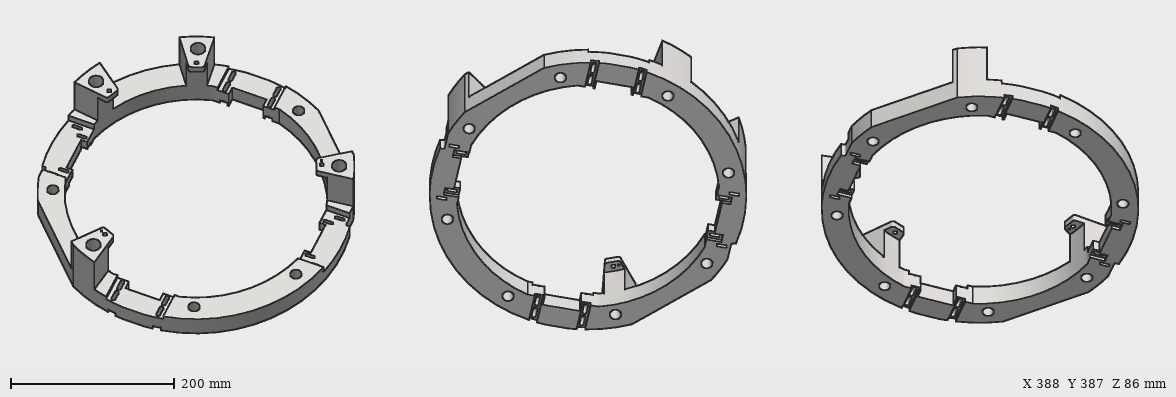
import cadquery as cq
import math

outer_radius = 194.0
inner_radius = 161.0
total_height = 86.0
ring_height = 30.0

end_flat_width = 28.0
diagonal_angle = 45
diagonal_flat_dist = 185.0

bore_flat_dist = 155.0

y_pad_half_width = 38.0
y_pad_drop = 5.0
y_pocket_half_width = 23.0
y_pocket_reach = 165.5

x_pad_half_width = 44.0
x_pad_drop = 10.0
x_pocket_half_width = 23.0
x_pocket_reach = 163.0

groove_width = 10.0
groove_depth = 5.0
y_slot_offset = 30.0
y_slot_length = 15.5
y_slot_width = 5.0
y_slot_reaches = (163.7, 181.0)
x_slot_length = 12.8
x_slot_width = 4.0
x_slot_inner = (164.0, 28.0)
x_slot_outer = (175.0, 38.5)

side_step_dist = 186.0
side_step_start = 32.2
side_step_end = 58.2
side_step_fillet = 2.5

bolt_circle_radius = 175.5
bolt_diameter = 14.0
bolt_count = 8
counterbore_diameter = 18.0

post_offset = 1.5
post_half_angle = 15.0
tip_radius = 147.5
tip_half_width = 9.5
tip_fillet = 3.5
lip_thickness = 9.7
lip_hole_radius = 154.0
lip_hole_diameter = 5.0
pin_hole_radius = 153.5
pin_hole_offset = 8.0
pin_hole_diameter = 2.2

clear = 4.0
half_pitch = 360 / bolt_count / 2

posts = (
    (half_pitch, False, True),
    (90 + half_pitch, False, False),
    (180 - half_pitch, True, False),
    (270 - half_pitch, True, True),
)


def block(x_range, y_range, z_range):
    """Box spanning the given ranges along X, Y and Z."""
    (x0, x1), (y0, y1), (z0, z1) = x_range, y_range, z_range
    return cq.Workplane("XY").box(x1 - x0, y1 - y0, z1 - z0, centered=False).translate((x0, y0, z0))


def turned(shape, angle):
    """Shape rotated about the ring axis."""
    return shape.rotate((0, 0, 0), (0, 0, 1), angle)


def outer_envelope():
    """Full-height body inside the outer wall of the ring and the posts."""
    end_flat_dist = math.sqrt(outer_radius**2 - (end_flat_width / 2) ** 2)
    body = cq.Workplane("XY").circle(outer_radius).extrude(total_height)
    body = body.intersect(
        cq.Workplane("XY").rect(2 * outer_radius, 2 * end_flat_dist).extrude(total_height)
    )
    diagonal = cq.Workplane("XY").rect(2 * diagonal_flat_dist, 2 * outer_radius).extrude(total_height)
    body = body.intersect(turned(diagonal, diagonal_angle))
    step = block(
        (side_step_dist, outer_radius + clear),
        (side_step_start, side_step_end),
        (-clear, total_height + clear),
    )
    step = step.edges("|Z and <X and <Y").fillet(side_step_fillet)
    return body.cut(step).cut(turned(step, 180))


def bore():
    """Round bore up to the lips, flattened at the pads."""
    height = total_height - lip_thickness
    flat_size = 2 * bore_flat_dist
    flats = cq.Workplane("XY").rect(flat_size, flat_size).extrude(height)
    return cq.Workplane("XY").circle(inner_radius).extrude(height).intersect(flats)


def y_pad_cut():
    """Recess, pocket, slots and grooves of the +Y pad."""
    half, pocket = y_pad_half_width, y_pocket_half_width
    recess_floor = ring_height - y_pad_drop
    cut = block((-half, half), (0, outer_radius + clear), (recess_floor, ring_height + clear))
    cut = cut.union(block((-pocket, pocket), (0, y_pocket_reach), (-clear, ring_height)))
    centers = [(side * y_slot_offset, reach) for side in (-1, 1) for reach in y_slot_reaches]
    slots = cq.Workplane("XY").pushPoints(centers).slot2D(y_slot_length, y_slot_width, 90).extrude(ring_height)
    cut = cut.union(slots)
    for side in (-1, 1):
        middle = side * y_slot_offset
        groove = block(
            (middle - groove_width / 2, middle + groove_width / 2),
            (0, outer_radius + clear),
            (-clear, groove_depth),
        )
        cut = cut.union(groove)
    return cut


def x_pad_cut():
    """Recess, pocket, slots and short grooves of the +X pad."""
    half, pocket = x_pad_half_width, x_pocket_half_width
    recess_floor = ring_height - x_pad_drop
    groove_end = 2 * x_slot_inner[0] - bore_flat_dist
    cut = block((0, outer_radius + clear), (-half, half), (recess_floor, ring_height + clear))
    cut = cut.union(block((0, x_pocket_reach), (-pocket, pocket), (-clear, ring_height)))
    centers = [(x, side * y) for side in (-1, 1) for x, y in (x_slot_inner, x_slot_outer)]
    slots = cq.Workplane("XY").pushPoints(centers).slot2D(x_slot_length, x_slot_width).extrude(ring_height)
    cut = cut.union(slots)
    for side in (-1, 1):
        middle = side * x_slot_inner[1]
        groove = block(
            (0, groove_end),
            (middle - groove_width / 2, middle + groove_width / 2),
            (-clear, groove_depth),
        )
        cut = cut.union(groove)
    return cut


def hole(radius, offset, diameter, bottom):
    """Cutter for a vertical hole from the given level up past the top."""
    depth = total_height + clear - bottom
    return cq.Workplane("XY", origin=(radius, offset, bottom)).circle(diameter / 2).extrude(depth)


def wedge():
    """Full-height wedge of a post that points along +X."""
    end = outer_radius + clear
    end_half_width = tip_half_width + (end - tip_radius) * math.tan(math.radians(post_half_angle))
    outline = [
        (tip_radius, post_offset - tip_half_width),
        (end, post_offset - end_half_width),
        (end, post_offset + end_half_width),
        (tip_radius, post_offset + tip_half_width),
    ]
    body = cq.Workplane("XY").polyline(outline).close().extrude(total_height)
    return body.edges("|Z and <X").fillet(tip_fillet)


def placed(shape, angle, mirrored):
    """Shape made along +X, moved to its post direction."""
    return turned(shape.mirror("XZ") if mirrored else shape, angle)


def space_between_posts():
    """Everything above the ring that is not a post."""
    space = (
        cq.Workplane("XY", origin=(0, 0, ring_height))
        .circle(outer_radius + clear)
        .extrude(total_height + clear - ring_height)
    )
    for angle, mirrored, _ in posts:
        space = space.cut(placed(wedge(), angle, mirrored))
    return space


def post_holes(with_pin):
    """Counterbore and lip holes of a post that points along +X."""
    holes = hole(bolt_circle_radius, 0, counterbore_diameter, ring_height)
    holes = holes.union(hole(lip_hole_radius, post_offset, lip_hole_diameter, ring_height))
    if with_pin:
        holes = holes.union(hole(pin_hole_radius, pin_hole_offset, pin_hole_diameter, ring_height))
    return holes


result = outer_envelope().cut(space_between_posts()).cut(bore())

for half_turn in (0, 180):
    result = result.cut(turned(y_pad_cut(), half_turn))
    result = result.cut(turned(x_pad_cut(), half_turn))

for angle, mirrored, with_pin in posts:
    result = result.cut(placed(post_holes(with_pin), angle, mirrored))

bolt_holes = (
    cq.Workplane("XY")
    .polarArray(bolt_circle_radius, half_pitch, 360, bolt_count)
    .circle(bolt_diameter / 2)
    .extrude(total_height)
)
result = result.cut(bolt_holes)